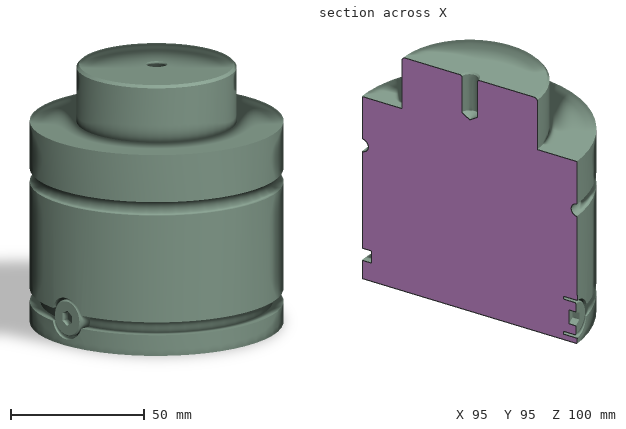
import cadquery as cq
import math

body_diameter = 95.0
body_height = 78.0
overall_height = 100.0
post_diameter = 60.0
post_chamfer = 1.0

round_groove_height = 57.1
round_groove_radius = 2.6

square_groove_bottom = 8.0
square_groove_width = 5.0
square_groove_depth = 4.0

tap_diameter = 6.8
tap_depth = 16.0
tap_mouth_diameter = 8.0
drill_point_angle = 118.0

plug_height = square_groove_bottom + square_groove_width / 2
pocket_diameter = 16.0
pocket_depth = 6.0
plug_diameter = 14.0
plug_recess = 0.6
plug_chamfer = 0.5
hex_across_flats = 5.0
hex_depth = 3.0

body_radius = body_diameter / 2


def make_body():
    """Stepped cylinder with a chamfered post."""
    body = cq.Workplane("XY").circle(body_radius).extrude(body_height)
    post = (
        cq.Workplane("XY")
        .circle(post_diameter / 2)
        .extrude(overall_height)
        .faces(">Z")
        .chamfer(post_chamfer)
    )
    return body.union(post)


def make_round_groove():
    """Ring of circular section centred on the outer surface."""
    return cq.Workplane("XY").add(cq.Solid.makeTorus(
        body_radius, round_groove_radius, cq.Vector(0, 0, round_groove_height)
    ))


def make_square_groove():
    """Ring of rectangular section at the outer surface."""
    return (
        cq.Workplane("XY", origin=(0, 0, square_groove_bottom))
        .circle(body_radius)
        .circle(body_radius - square_groove_depth)
        .extrude(square_groove_width)
    )


def make_tapped_hole():
    """Drilled hole with a conical bottom and a 45 degree mouth chamfer."""
    radius = tap_diameter / 2
    mouth_radius = tap_mouth_diameter / 2
    mouth_depth = mouth_radius - radius
    point_depth = radius / math.tan(math.radians(drill_point_angle / 2))
    return (
        cq.Workplane("XZ", origin=(0, 0, overall_height))
        .polyline([
            (0, 0),
            (mouth_radius, 0),
            (radius, -mouth_depth),
            (radius, -tap_depth),
            (0, -tap_depth - point_depth),
        ])
        .close()
        .revolve(360, (0, 0, 0), (0, 1, 0))
    )


def front_plane(depth):
    """Outward-facing plane on the plug axis, set in from the front surface."""
    return cq.Workplane("XZ", origin=(0, depth - body_radius, plug_height))


def make_plug():
    """Chamfered plug standing on the pocket floor, with a hexagonal socket."""
    plug = (
        front_plane(pocket_depth)
        .circle(plug_diameter / 2)
        .extrude(pocket_depth - plug_recess)
        .faces("<Y")
        .chamfer(plug_chamfer)
    )
    across_corners = hex_across_flats / math.cos(math.pi / 6)
    socket = (
        front_plane(plug_recess)
        .transformed(rotate=(0, 0, 90))
        .polygon(6, across_corners)
        .extrude(-hex_depth)
    )
    return plug.cut(socket)


pocket = front_plane(pocket_depth).circle(pocket_diameter / 2).extrude(pocket_depth)

result = (
    make_body()
    .cut(make_round_groove())
    .cut(make_square_groove())
    .cut(make_tapped_hole())
    .cut(pocket)
    .union(make_plug())
)